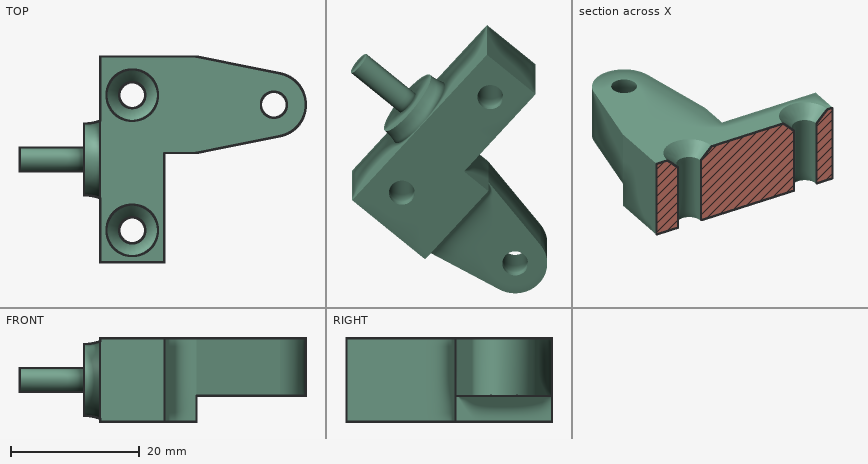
import cadquery as cq
import math

block_width = 10.0
block_length = 32.0
block_height = 13.0

arm_width = 15.0
root_reach = 15.0
lug_height = 9.0
lug_end_x = 27.0
lug_end_radius = 5.0

hole_diameter = 4.0
sink_diameter = 8.0
sink_depth = 2.0
arm_side_hole_inset = 6.0
far_side_hole_inset = 5.0

collar_length = 2.5
collar_base_diameter = 12.0
collar_tip_diameter = 11.15
pin_diameter = 3.8
pin_length = 10.0

half_length = block_length / 2
lug_end_y = half_length - arm_width / 2
axis_z = -block_height / 2


def make_body():
    """Block with the full-height arm root along its +Y end."""
    block = cq.Workplane("XY").box(
        block_width, block_length, block_height, centered=(False, True, False)
    )
    root = (
        cq.Workplane("XY")
        .center(0, lug_end_y)
        .box(root_reach, arm_width, block_height, centered=(False, True, False))
    )
    return block.union(root).translate((0, 0, -block_height))


def make_lug():
    """Tapered lug whose straight sides run tangent into the round end."""
    run = lug_end_x - root_reach
    half_width = arm_width / 2
    corner_angle = math.atan2(half_width, -run)
    tangent_angle = corner_angle - math.acos(lug_end_radius / math.hypot(run, half_width))
    tangent_x = lug_end_x + lug_end_radius * math.cos(tangent_angle)
    tangent_y = lug_end_radius * math.sin(tangent_angle)
    return (
        cq.Workplane("XY")
        .moveTo(root_reach, lug_end_y - half_width)
        .lineTo(tangent_x, lug_end_y - tangent_y)
        .threePointArc(
            (lug_end_x + lug_end_radius, lug_end_y),
            (tangent_x, lug_end_y + tangent_y),
        )
        .lineTo(root_reach, lug_end_y + half_width)
        .close()
        .extrude(-lug_height)
    )


def make_hole(x, y):
    """Cutter for a vertical through hole."""
    return cq.Workplane("XY").center(x, y).circle(hole_diameter / 2).extrude(-block_height)


def make_countersunk_hole(x, y):
    """Cutter for a through hole with a conical sink at the top."""
    sink = cq.Solid.makeCone(
        sink_diameter / 2,
        hole_diameter / 2,
        sink_depth,
        pnt=cq.Vector(x, y, 0),
        dir=cq.Vector(0, 0, -1),
    )
    return make_hole(x, y).union(cq.Workplane(sink))


def make_collar_and_pin():
    """Collar flaring along a hollow arc towards the block, with a pin on its axis."""
    base_radius = collar_base_diameter / 2
    tip_radius = collar_tip_diameter / 2
    flare = base_radius - tip_radius
    arc_radius = (collar_length**2 + flare**2) / (2 * flare)
    half_sweep = math.atan2(flare, collar_length)
    arc_middle = (
        -collar_length + arc_radius * math.sin(half_sweep),
        tip_radius + arc_radius * (1 - math.cos(half_sweep)),
    )
    collar = (
        cq.Workplane("XY")
        .lineTo(-collar_length, 0)
        .lineTo(-collar_length, tip_radius)
        .threePointArc(arc_middle, (0, base_radius))
        .close()
        .revolve(360, (0, 0, 0), (1, 0, 0))
    )
    pin = cq.Workplane("YZ").circle(pin_diameter / 2).extrude(-(collar_length + pin_length))
    return collar.union(pin).translate((0, 0, axis_z))


result = make_body().union(make_lug()).union(make_collar_and_pin())
result = result.cut(make_hole(lug_end_x, lug_end_y))
for hole_y in (half_length - arm_side_hole_inset, far_side_hole_inset - half_length):
    result = result.cut(make_countersunk_hole(block_width / 2, hole_y))